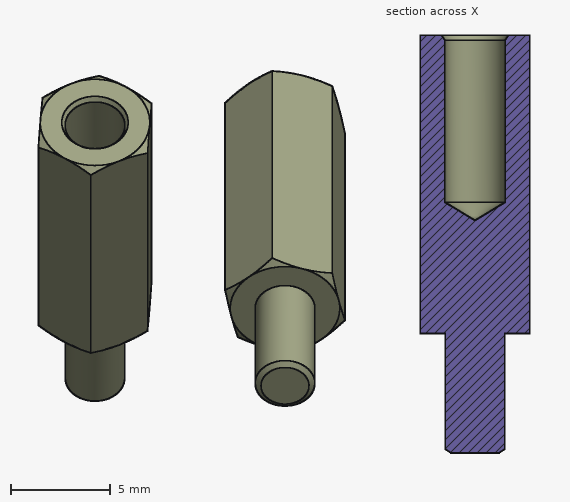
import cadquery as cq
import math

total_length = 21.0
pin_length = 6.0
across_flats = 5.5
thread_diameter = 3.0
corner_chamfer_angle = 30.0
pin_chamfer_height = 0.19
pin_chamfer_width = 0.3
hole_depth = 8.4
drill_point_angle = 118.0
hole_mouth_diameter = 3.34
mouth_chamfer_depth = 0.25

flat_radius = across_flats / 2
corner_radius = flat_radius / math.cos(math.radians(30))
thread_radius = thread_diameter / 2
mouth_radius = hole_mouth_diameter / 2
chamfer_drop = (corner_radius - flat_radius) * math.tan(math.radians(corner_chamfer_angle))
drill_point_height = thread_radius / math.tan(math.radians(drill_point_angle / 2))


def revolve_profile(points):
    """Revolve a closed (radius, height) outline around the Z axis."""
    return cq.Workplane("XZ").polyline(points).close().revolve(360, (0, 0), (0, 1))


def hexagonal_body():
    """Hexagonal prism with its corners turned off conically at both ends."""
    prism = (
        cq.Workplane("XY")
        .workplane(offset=pin_length)
        .polygon(6, 2 * corner_radius)
        .extrude(total_length - pin_length)
    )
    turned_envelope = revolve_profile([
        (0, pin_length),
        (flat_radius, pin_length),
        (corner_radius, pin_length + chamfer_drop),
        (corner_radius, total_length - chamfer_drop),
        (flat_radius, total_length),
        (0, total_length),
    ])
    return prism.intersect(turned_envelope)


def threaded_pin():
    """Plain cylindrical pin with a chamfered lower end."""
    return revolve_profile([
        (0, 0),
        (thread_radius - pin_chamfer_width, 0),
        (thread_radius, pin_chamfer_height),
        (thread_radius, pin_length),
        (0, pin_length),
    ])


def blind_hole():
    """Drilled hole with a conical bottom and a chamfered mouth."""
    shoulder_height = total_length - hole_depth
    return revolve_profile([
        (0, shoulder_height - drill_point_height),
        (thread_radius, shoulder_height),
        (thread_radius, total_length - mouth_chamfer_depth),
        (mouth_radius, total_length),
        (0, total_length),
    ])


result = hexagonal_body().union(threaded_pin()).cut(blind_hole())